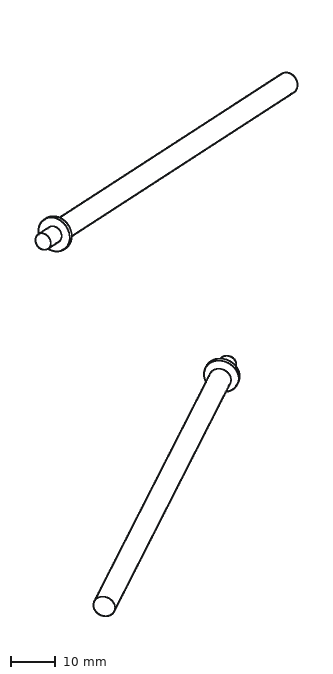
import cadquery as cq

total_length = 112.0
shaft_diameter = 5.0
collar_diameter = 8.0
pin_diameter = 3.91
pin_length = 5.0
collar_rim_width = 1.0
taper_length = 1.0

collar_front = pin_length
collar_back = collar_front + collar_rim_width
shaft_start = collar_back + taper_length


def turned_body():
    """Revolve the stepped half profile of pin, collar and shaft about Y."""
    shaft_radius = shaft_diameter / 2
    collar_radius = collar_diameter / 2
    pin_radius = pin_diameter / 2
    profile = (
        cq.Workplane("XY")
        .moveTo(0, 0)
        .lineTo(pin_radius, 0)
        .lineTo(pin_radius, collar_front)
        .lineTo(collar_radius, collar_front)
        .lineTo(collar_radius, collar_back)
        .lineTo(shaft_radius, shaft_start)
        .lineTo(shaft_radius, total_length)
        .lineTo(0, total_length)
        .close()
    )
    return profile.revolve(360, (0, 0, 0), (0, 1, 0))


result = turned_body()